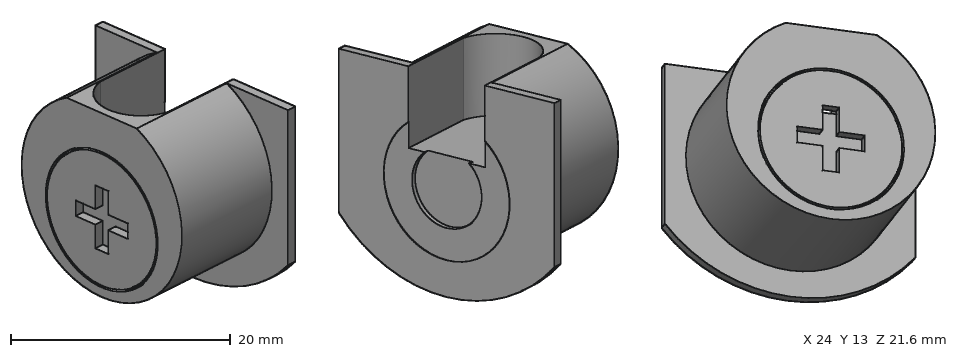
import cadquery as cq
import math

flange_width = 24.0
flange_height = 21.6
flange_side_height = 16.0
flange_thickness = 1.0

housing_radius = 10.0
top_z = 9.0
total_depth = 13.0

cam_z = -2.0
cam_bore_radius = 7.0
cam_clearance = 0.2
cam_groove_depth = 0.5
cam_back_setback = 0.05
cam_back_hole_radius = 3.875
cam_back_hole_depth = 0.5

cross_span = 6.5
cross_arm_width = 1.6
cross_depth = 1.0

slot_width = 8.5
slot_end_radius = 4.35
slot_depth = 8.0
slot_front_wall = 0.9

front_y = -total_depth
slot_front_y = front_y + slot_front_wall


def cylinder_y(radius, z, y_start, y_end):
    """Cylinder along Y at X = 0 and height z, from y_start back to y_end."""
    start = cq.Vector(0, y_start, z)
    return cq.Workplane(cq.Solid.makeCylinder(radius, y_end - y_start, start, cq.Vector(0, 1, 0)))


def box_between(x_size, y_start, y_end, z_bottom, z_top):
    """Box centred on X = 0 between the given Y and Z limits."""
    box = cq.Workplane().box(x_size, y_end - y_start, z_top - z_bottom, centered=(True, False, False))
    return box.translate((0, y_start, z_bottom))


def make_flange():
    """Plate with straight upper sides and a curved lower edge."""
    half_width = flange_width / 2
    side_bottom_z = top_z - flange_side_height
    return (
        cq.Workplane("XZ")
        .moveTo(-half_width, top_z)
        .lineTo(half_width, top_z)
        .lineTo(half_width, side_bottom_z)
        .threePointArc((0, top_z - flange_height), (-half_width, side_bottom_z))
        .close()
        .extrude(flange_thickness)
    )


def make_housing():
    """Round body with its top cut off flat."""
    half_flat = math.sqrt(housing_radius**2 - top_z**2)
    return (
        cq.Workplane("XZ")
        .moveTo(-half_flat, top_z)
        .lineTo(half_flat, top_z)
        .threePointArc((0, -housing_radius), (-half_flat, top_z))
        .close()
        .extrude(total_depth)
    )


def make_slot():
    """Slot with a rounded front end, cut down from the flat top."""
    half_width = slot_width / 2
    arc_start_y = slot_front_y + slot_end_radius - math.sqrt(slot_end_radius**2 - half_width**2)
    return (
        cq.Workplane("XY", origin=(0, 0, top_z - slot_depth))
        .moveTo(half_width, 0)
        .lineTo(half_width, arc_start_y)
        .threePointArc((0, slot_front_y), (-half_width, arc_start_y))
        .lineTo(-half_width, 0)
        .close()
        .extrude(slot_depth)
    )


def make_cam_groove():
    """Narrow ring that separates the cam disc from the housing face."""
    groove_end_y = front_y + cam_groove_depth
    outer = cylinder_y(cam_bore_radius, cam_z, front_y, groove_end_y)
    return outer.cut(cylinder_y(cam_bore_radius - cam_clearance, cam_z, front_y, groove_end_y))


def make_cam_back():
    """Slight setback of the cam's back face and the shallow round hole in it."""
    setback = cylinder_y(cam_bore_radius, cam_z, -cam_back_setback, 0)
    hole = cylinder_y(cam_back_hole_radius, cam_z, -cam_back_hole_depth - cam_back_setback, 0)
    return setback.union(hole)


def make_cross():
    """Plus-shaped driver recess, deep enough to break into the slot."""
    end_y = front_y + cross_depth
    cross = cq.Workplane()
    for x_size, z_size in ((cross_span, cross_arm_width), (cross_arm_width, cross_span)):
        cross = cross.union(box_between(x_size, front_y, end_y, cam_z - z_size / 2, cam_z + z_size / 2))
    return cross


result = make_flange().union(make_housing())
for cutter in (make_slot(), make_cam_groove(), make_cam_back(), make_cross()):
    result = result.cut(cutter)